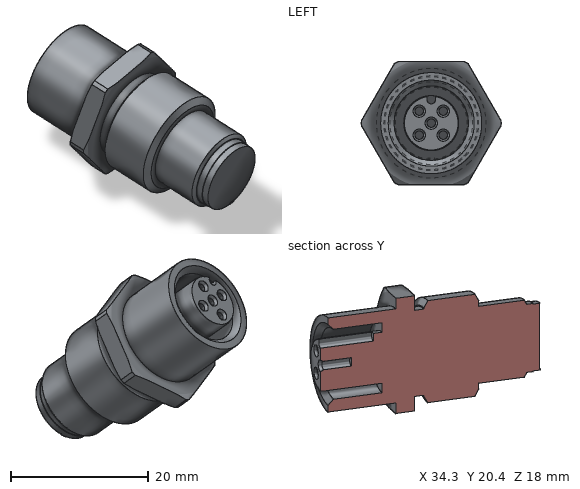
import cadquery as cq
import math

total_length = 34.3

sleeve_start = 1.15
sleeve_radius = 7.37
bore_radius = 5.42
bore_mouth_radius = 6.28
bore_mouth_depth = 0.85
bore_floor = 9.6

insert_radius = 4.0
insert_chamfer_length = 0.4
insert_chamfer_height = 0.1
key_slot_width = 1.25
key_slot_bottom = 2.8
key_slot_length = 8.23

contact_offset = 1.75
contact_radius = 0.62
contact_mouth_radius = 0.9
contact_mouth_depth = 0.48
contact_depth = 4.8

nut_start = 11.73
nut_width = 3.0
nut_across_flats = 18.0
nut_across_corners = 20.4
nut_face_radius = 9.43
nut_bevel_length = 0.2

neck_radius = 6.75
collar_start = 16.12
collar_end = 24.73
collar_radius = 8.0
collar_chamfer_length = 0.62
collar_chamfer_height = 1.05
plug_radius = 6.05
plug_end = 31.83
plug_chamfer_length = 0.35
plug_chamfer_foot = 5.45
ring_radius = 5.35
ring_end = 33.2
tip_radius = 5.25
tip_end = 34.23

key_width = 0.9
key_height = 0.2


def revolve_profile(points):
    """Turn (x, radius) points about the X axis."""
    return cq.Workplane("XY").polyline(points).close().revolve(360, (0, 0, 0), (1, 0, 0))


def rod(start, end, radius):
    """Solid cylinder along X."""
    return cq.Workplane("YZ", origin=(start, 0, 0)).circle(radius).extrude(end - start)


def make_body():
    """Sleeve, neck, collar and plug, turned from one stepped profile."""
    nut_end = nut_start + nut_width
    collar_edge_radius = collar_radius - collar_chamfer_height
    chamfer_end = plug_end + plug_chamfer_length
    return revolve_profile([
        (bore_floor, 0),
        (bore_floor, bore_radius),
        (sleeve_start + bore_mouth_depth, bore_radius),
        (sleeve_start, bore_mouth_radius),
        (sleeve_start, sleeve_radius),
        (nut_end, sleeve_radius),
        (nut_end, neck_radius),
        (collar_start, neck_radius),
        (collar_start, collar_edge_radius),
        (collar_start + collar_chamfer_length, collar_radius),
        (collar_end - collar_chamfer_length, collar_radius),
        (collar_end, collar_edge_radius),
        (collar_end, plug_radius),
        (plug_end, plug_radius),
        (chamfer_end, plug_chamfer_foot),
        (chamfer_end, ring_radius),
        (ring_end, ring_radius),
        (ring_end, tip_radius),
        (tip_end, tip_radius),
        (tip_end, 0),
    ])


def make_nut():
    """Hexagon trimmed by a bevelled round envelope."""
    nut_end = nut_start + nut_width
    hexagon_diameter = nut_across_flats / math.cos(math.radians(30))
    hexagon = cq.Workplane("YZ", origin=(nut_start, 0, 0)).polygon(6, hexagon_diameter).extrude(nut_width)
    corner_radius = nut_across_corners / 2
    envelope = revolve_profile([
        (nut_start, 0),
        (nut_start, nut_face_radius),
        (nut_start + nut_bevel_length, corner_radius),
        (nut_end - nut_bevel_length, corner_radius),
        (nut_end, nut_face_radius),
        (nut_end, 0),
    ])
    return hexagon.intersect(envelope).cut(rod(nut_start, nut_end, bore_radius))


def make_insert():
    """Round carrier with a key slot and contact holes."""
    insert = revolve_profile([
        (0, 0),
        (0, insert_radius - insert_chamfer_height),
        (insert_chamfer_length, insert_radius),
        (bore_floor, insert_radius),
        (bore_floor, 0),
    ])
    return insert.cut(make_key_slot()).cut(make_contact_holes())


def make_key_slot():
    """Round-bottomed groove along the top of the insert."""
    half_width = key_slot_width / 2
    arc_centre = key_slot_bottom + half_width
    return (
        cq.Workplane("YZ")
        .moveTo(-half_width, sleeve_radius)
        .lineTo(-half_width, arc_centre)
        .threePointArc((0, key_slot_bottom), (half_width, arc_centre))
        .lineTo(half_width, sleeve_radius)
        .close()
        .extrude(key_slot_length)
    )


def make_contact_holes():
    """Five blind holes with tapered mouths."""
    hole = revolve_profile([
        (0, 0),
        (0, contact_mouth_radius),
        (contact_mouth_depth, contact_radius),
        (contact_depth, contact_radius),
        (contact_depth, 0),
    ])
    holes = hole
    for y in (-contact_offset, contact_offset):
        for z in (-contact_offset, contact_offset):
            holes = holes.union(hole.translate((0, y, z)))
    return holes


def make_tip_key():
    """Short tab that carries the lowest part of the tip on to the full length."""
    tab = (
        cq.Workplane("XY")
        .box(total_length - ring_end, key_width, 2 * key_height, centered=(False, True, True))
        .translate((ring_end, 0, -tip_radius))
    )
    return tab.intersect(rod(ring_end, total_length, tip_radius))


result = make_body().union(make_nut()).union(make_insert()).union(make_tip_key())